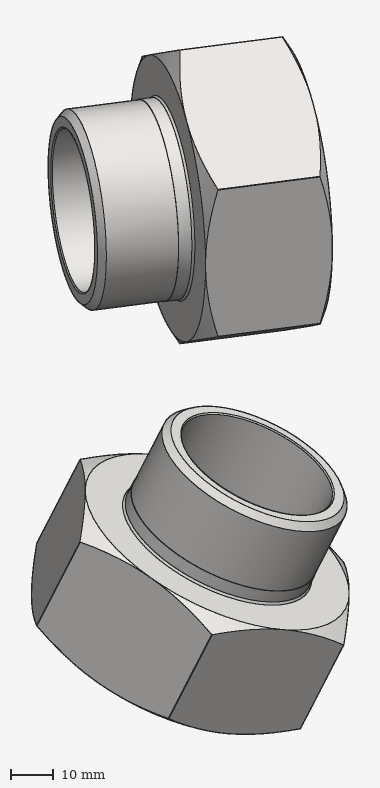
import cadquery as cq
import math

total_length = 54.0
nut_length = 30.9
across_flats = 68.0
across_corners = 78.4
corner_chamfer_angle = 30.0

tail_diameter = 47.8
collar_diameter = 48.0
collar_length = 3.85
shoulder_diameter = 48.8
shoulder_length = 0.6
tail_end_diameter = 44.6
tail_chamfer_length = 1.7

bore_diameter = 39.0
bore_chamfer = 0.3

tail_end_y = -total_length / 2
nut_back_y = total_length / 2
nut_face_y = nut_back_y - nut_length


def revolve_about_y(profile):
    """Revolve a closed (radius, y) profile around the Y axis."""
    return cq.Workplane("XY").polyline(profile).close().revolve(360, (0, 0, 0), (0, 1, 0))


def make_nut():
    """Hexagon with corners along Z, turned to a cone at both ends."""
    flat_radius = across_flats / 2
    corner_radius = across_corners / 2
    chamfer_length = (corner_radius - flat_radius) * math.tan(math.radians(corner_chamfer_angle))
    hexagon = (
        cq.Workplane("XZ", origin=(0, nut_back_y, 0))
        .polygon(6, across_flats, circumscribed=True)
        .extrude(nut_length)
    )
    envelope = revolve_about_y([
        (0, nut_face_y),
        (flat_radius, nut_face_y),
        (corner_radius, nut_face_y + chamfer_length),
        (corner_radius, nut_back_y - chamfer_length),
        (flat_radius, nut_back_y),
        (0, nut_back_y),
    ])
    return hexagon.intersect(envelope)


def make_tail():
    """Pipe with a conical shoulder, a slight collar and a chamfered end."""
    collar_end_y = nut_face_y - collar_length
    return revolve_about_y([
        (0, tail_end_y),
        (tail_end_diameter / 2, tail_end_y),
        (tail_diameter / 2, tail_end_y + tail_chamfer_length),
        (tail_diameter / 2, collar_end_y),
        (collar_diameter / 2, collar_end_y),
        (collar_diameter / 2, nut_face_y - shoulder_length),
        (shoulder_diameter / 2, nut_face_y),
        (shoulder_diameter / 2, nut_back_y),
        (0, nut_back_y),
    ])


def make_bore():
    """Through bore, chamfered at the tail end."""
    bore_radius = bore_diameter / 2
    return revolve_about_y([
        (0, tail_end_y),
        (bore_radius + bore_chamfer, tail_end_y),
        (bore_radius, tail_end_y + bore_chamfer),
        (bore_radius, nut_back_y),
        (0, nut_back_y),
    ])


result = make_nut().union(make_tail()).cut(make_bore())